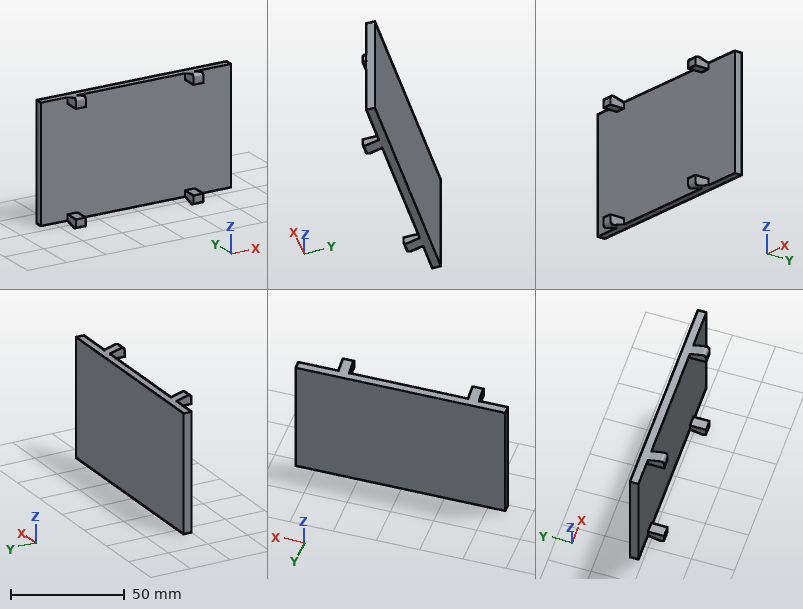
import cadquery as cq

PLATE_WIDTH = 97.0
PLATE_THICKNESS = 4.0
PLATE_HEIGHT = 58.0

CLIP_WIDTH = 5.0
CLIP_LENGTH = 7.5
CLIP_ROOT_HEIGHT = 3.0
CLIP_FLARE = 2.0
CLIP_TIP_RADIUS = 1.5
CLIP_SPACING = 60.0
FIRST_CLIP_MARGIN = 13.5

FIRST_CLIP_X = -PLATE_WIDTH / 2 + FIRST_CLIP_MARGIN
PLATE_TOP = PLATE_HEIGHT / 2


def make_plate():
    """Flat plate centred in X and Z, with its inner face on Y = 0."""
    return cq.Workplane("XY").box(
        PLATE_WIDTH, PLATE_THICKNESS, PLATE_HEIGHT, centered=(True, False, True)
    )


def make_top_clip(start_x):
    """Clip flush with the plate's top edge at its root and flaring upwards to a rounded tip."""
    profile = [
        (0, PLATE_TOP - CLIP_ROOT_HEIGHT),
        (0, PLATE_TOP),
        (-CLIP_LENGTH, PLATE_TOP + CLIP_FLARE),
        (-CLIP_LENGTH, PLATE_TOP - CLIP_ROOT_HEIGHT),
    ]
    clip = cq.Workplane("YZ", origin=(start_x, 0, 0)).polyline(profile).close().extrude(CLIP_WIDTH)
    return clip.faces("<Y").edges(">Z").fillet(CLIP_TIP_RADIUS)


result = make_plate()
for start_x in (FIRST_CLIP_X, FIRST_CLIP_X + CLIP_SPACING):
    top_clip = make_top_clip(start_x)
    bottom_clip = top_clip.mirror("XY")
    result = result.union(top_clip).union(bottom_clip)